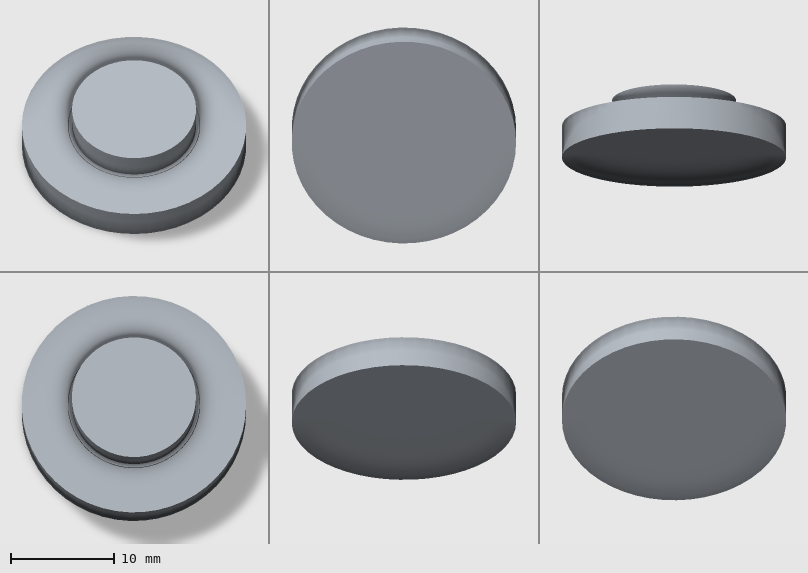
import cadquery as cq

housing_diameter = 21.7
housing_height = 3.15
recess_diameter = 12.8
recess_depth = 2.17

shoulder_diameter = 12.7
boss_diameter = 12.0
overall_height = 5.7

recess_floor = housing_height - recess_depth


def make_housing():
    """Round housing with a flat-floored recess."""
    body = cq.Workplane("XY").circle(housing_diameter / 2).extrude(housing_height)
    recess = (
        cq.Workplane("XY")
        .workplane(offset=recess_floor)
        .circle(recess_diameter / 2)
        .extrude(recess_depth)
    )
    return body.cut(recess)


def make_plug():
    """Round plug with a narrower boss rising above its shoulder."""
    base = cq.Workplane("XY").workplane(offset=recess_floor)
    shoulder = base.circle(shoulder_diameter / 2).extrude(recess_depth)
    boss = base.circle(boss_diameter / 2).extrude(overall_height - recess_floor)
    return shoulder.union(boss)


housing = make_housing()
plug = make_plug()

result = cq.Compound.makeCompound([housing.val(), plug.val()])